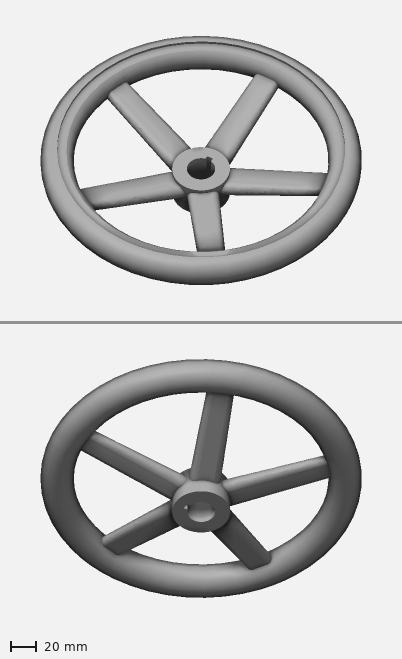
import cadquery as cq

wheel_diameter = 250.0
wheel_height = 50.0

rim_section_radius = 13.0
rim_center_radius = wheel_diameter / 2 - rim_section_radius
rim_center_z = wheel_height - rim_section_radius
step_depth = 2.2

hub_radius = 22.5
hub_height = 27.2
bore_radius = 11.0
keyway_width = 5.0
keyway_reach = 13.8

spoke_count = 5
spoke_flat_width = 12.8
spoke_inner_radius = 15.0
spoke_outer_radius = 107.5
spoke_inner_thickness = 12.2
spoke_outer_thickness = 8.5
spoke_underside_z = 10.2
spoke_underside_slope = 0.23


def make_rim():
    ring = cq.Workplane(cq.Solid.makeTorus(
        rim_center_radius, rim_section_radius, cq.Vector(0, 0, rim_center_z)
    ))
    step_cutter = (
        cq.Workplane("XY")
        .workplane(offset=wheel_height - step_depth)
        .circle(rim_center_radius)
        .extrude(2 * step_depth)
    )
    return ring.cut(step_cutter)


def spoke_section(radius, thickness):
    """Upright wire with straight top and bottom and half-round sides."""
    underside_z = spoke_underside_z + spoke_underside_slope * (radius - spoke_inner_radius)
    center_z = underside_z + thickness / 2
    plane = cq.Plane(origin=(0, radius, center_z), xDir=(1, 0, 0), normal=(0, -1, 0))
    total_width = spoke_flat_width + thickness
    return cq.Workplane(plane).slot2D(total_width, thickness).wires().val()


def make_spoke():
    inner_section = spoke_section(spoke_inner_radius, spoke_inner_thickness)
    outer_section = spoke_section(spoke_outer_radius, spoke_outer_thickness)
    return cq.Workplane(cq.Solid.makeLoft([inner_section, outer_section], True))


def make_bore():
    bore = cq.Workplane("XY").circle(bore_radius).extrude(hub_height)
    keyway = (
        cq.Workplane("XY")
        .center(0, keyway_reach / 2)
        .rect(keyway_width, keyway_reach)
        .extrude(hub_height)
    )
    return bore.union(keyway)


hub = cq.Workplane("XY").circle(hub_radius).extrude(hub_height)
wheel = make_rim().union(hub)
spoke = make_spoke()
for index in range(spoke_count):
    angle = index * 360 / spoke_count
    wheel = wheel.union(spoke.rotate((0, 0, 0), (0, 0, 1), angle))

result = wheel.cut(make_bore())